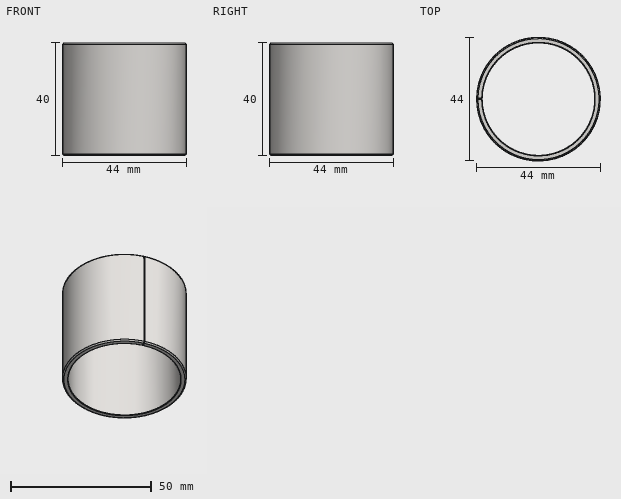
import cadquery as cq

outer_diameter = 44.0
bore_diameter = 40.0
length = 40.0
outer_chamfer = 0.5
bore_chamfer = 0.2
split_angle = 1.0

outer_radius = outer_diameter / 2
bore_radius = bore_diameter / 2


def make_wall_section():
    """Wall cross-section on the -X side of the XZ plane, chamfered at all four corners."""
    return (
        cq.Workplane("XZ")
        .moveTo(-outer_radius, outer_chamfer)
        .lineTo(-outer_radius + outer_chamfer, 0)
        .lineTo(-bore_radius - bore_chamfer, 0)
        .lineTo(-bore_radius, bore_chamfer)
        .lineTo(-bore_radius, length - bore_chamfer)
        .lineTo(-bore_radius - bore_chamfer, length)
        .lineTo(-outer_radius + outer_chamfer, length)
        .lineTo(-outer_radius, length - outer_chamfer)
        .close()
    )


def make_bushing():
    """Sweep the wall counterclockwise from -X, leaving the split open on its +Y side."""
    axis_start = (0, 0, 0)
    axis_end = (0, 1, 0)
    return make_wall_section().revolve(360 - split_angle, axis_start, axis_end)


result = make_bushing()